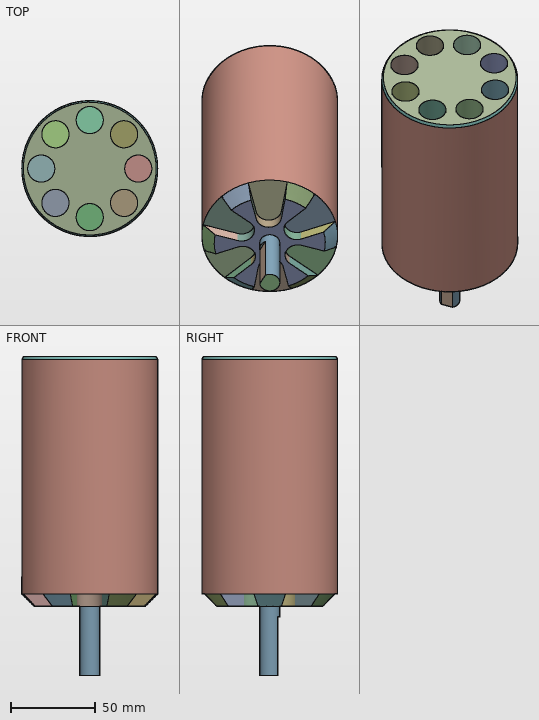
import cadquery as cq
import math

total_height = 189.2
housing_diameter = 80.5
housing_radius = housing_diameter / 2

shaft_diameter = 12.0
shaft_length = 41.0
flat_length = 34.8
flat_depth = 1.1

base_chamfer = 7.4
top_chamfer_height = 1.7
top_chamfer_width = 1.0

slot_count = 6
slot_nose_radius = 7.5
slot_nose_distance = 19.0
slot_flare_angle = 11.0
first_slot_angle = 30.0

hole_count = 8
hole_diameter = 16.0
hole_circle_radius = 28.8
hole_depth = 19.0


def make_blank():
    """Revolve the housing outline: tapered base, straight wall, chamfered top."""
    base_radius = housing_radius - base_chamfer
    top_radius = housing_radius - top_chamfer_width
    outline = [
        (0, shaft_length),
        (base_radius, shaft_length),
        (housing_radius, shaft_length + base_chamfer),
        (housing_radius, total_height - top_chamfer_height),
        (top_radius, total_height),
        (0, total_height),
    ]
    return cq.Workplane("XZ").polyline(outline).close().revolve(360, (0, 0), (0, 1))


def make_slot():
    """One slot along +X: a round nose whose tangent side walls flare outwards."""
    flare = math.radians(slot_flare_angle)
    tangent_x = slot_nose_distance - slot_nose_radius * math.sin(flare)
    tangent_y = slot_nose_radius * math.cos(flare)
    outer_x = housing_radius + base_chamfer
    outer_y = tangent_y + (outer_x - tangent_x) * math.tan(flare)
    nose_x = slot_nose_distance - slot_nose_radius
    return (
        cq.Workplane("XY", origin=(0, 0, shaft_length))
        .moveTo(outer_x, -outer_y)
        .lineTo(tangent_x, -tangent_y)
        .threePointArc((nose_x, 0), (tangent_x, tangent_y))
        .lineTo(outer_x, outer_y)
        .close()
        .extrude(base_chamfer)
    )


def make_top_holes():
    """Cylinders that reach down from the top face."""
    return (
        cq.Workplane("XY", origin=(0, 0, total_height))
        .polarArray(hole_circle_radius, 0, 360, hole_count)
        .circle(hole_diameter / 2)
        .extrude(-hole_depth)
    )


def make_housing():
    body = make_blank().cut(make_top_holes())
    slot = make_slot()
    for index in range(slot_count):
        angle = first_slot_angle + index * 360 / slot_count
        body = body.cut(slot.rotate((0, 0, 0), (0, 0, 1), angle))
    return body


def make_shaft():
    """Round shaft against the housing base, with a flat on its +Y side."""
    flat_y = shaft_diameter / 2 - flat_depth
    shaft = cq.Workplane("XY").circle(shaft_diameter / 2).extrude(shaft_length)
    flat_cut = cq.Workplane("XY").box(
        shaft_diameter, shaft_diameter, flat_length, centered=(True, False, False)
    )
    return shaft.cut(flat_cut.translate((0, flat_y, 0)))


housing = make_housing().solids()
shaft = make_shaft().solids()

result = cq.Compound.makeCompound([housing.val(), shaft.val()])